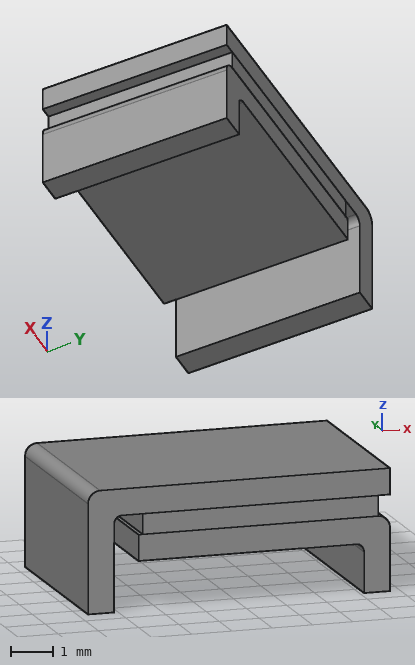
import cadquery as cq

length = 7.5
width = 4.9
height = 3.0
sheet = 0.645
outer_radius = 0.3
inner_radius = 0.2
lower_start = 1.25
chip_start = 1.36
chip_end = 7.21
chip_thickness = 0.5

upper_underside = height - sheet
lower_top = upper_underside - chip_thickness


def bent_terminal(free_x, leg_x, top_z):
    """Flat plate from free_x to leg_x, with a leg bent down to Z = 0 at leg_x."""
    inward = 1 if free_x > leg_x else -1
    inner_x = leg_x + inward * sheet
    inner_z = top_z - sheet
    terminal = (
        cq.Workplane("XZ")
        .moveTo(free_x, top_z)
        .lineTo(leg_x, top_z)
        .lineTo(leg_x, 0)
        .lineTo(inner_x, 0)
        .lineTo(inner_x, inner_z)
        .lineTo(free_x, inner_z)
        .close()
        .extrude(width / 2, both=True)
    )
    outer_edge = cq.selectors.NearestToPointSelector((leg_x, 0, top_z))
    inner_edge = cq.selectors.NearestToPointSelector((inner_x, 0, inner_z))
    terminal = terminal.edges("|Y").edges(outer_edge).fillet(outer_radius)
    return terminal.edges("|Y").edges(inner_edge).fillet(inner_radius)


def chip_block():
    """Rectangular chip sandwiched between the two terminal plates."""
    return cq.Workplane("XY").box(
        chip_end - chip_start, width, chip_thickness, centered=(False, True, False)
    ).translate((chip_start, 0, lower_top))


upper_terminal = bent_terminal(free_x=length, leg_x=0, top_z=height)
lower_terminal = bent_terminal(free_x=lower_start, leg_x=length, top_z=lower_top)
chip = chip_block()

result = cq.Compound.makeCompound([upper_terminal.val(), lower_terminal.val(), chip.val()])